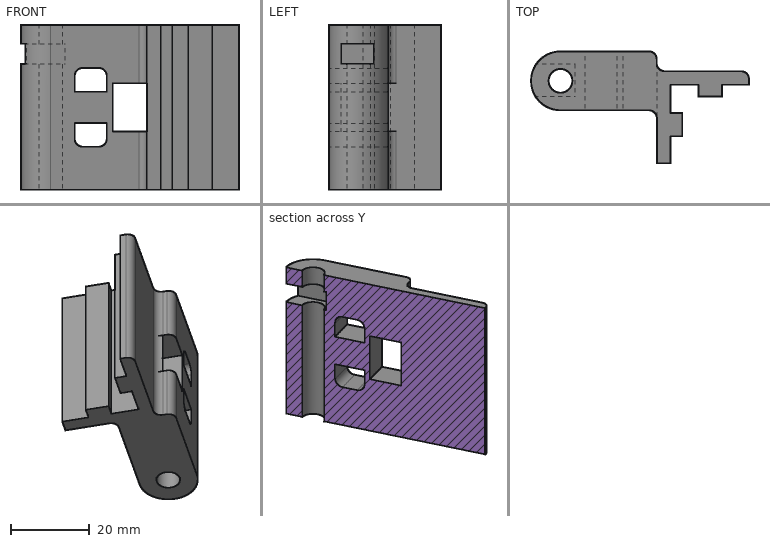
import cadquery as cq

height = 42.0
barrel_diameter = 15.05
barrel_radius = barrel_diameter / 2
barrel_hole_diameter = 6.0
edge_radius = 2.0

flange_thickness = 3.5
flange_reach = 20.0
body_length = 32.0
back_step = 5.05
pad_offset = 7.1
pad_width = 6.0
pad_height = 3.0

window_left = 13.7
window_width = 8.1
window_inner_z = 4.0
window_outer_z = 10.0

opening_left = 23.4
opening_height = 12.2

slot_depth = 11.1
slot_width = 8.2
slot_height = 5.1
slot_top_gap = 4.85
slot_shift = 0.2

mid_z = height / 2
corner_x = body_length + flange_thickness
corner_y = barrel_radius - back_step - flange_thickness
end_x = corner_x + flange_reach
end_y = corner_y - flange_reach


def box(x, y, z, length, width, tall):
    """Box placed by its lowest corner."""
    return cq.Workplane("XY").box(length, width, tall, centered=False).translate((x, y, z))


def bracket():
    """Rounded hinge body and the two flanges, without the pads."""
    flange_back = corner_y + flange_thickness
    solid = (
        cq.Workplane("XY")
        .moveTo(barrel_radius, barrel_radius)
        .lineTo(body_length, barrel_radius)
        .lineTo(body_length, flange_back)
        .lineTo(end_x, flange_back)
        .lineTo(end_x, corner_y)
        .lineTo(corner_x, corner_y)
        .lineTo(corner_x, end_y)
        .lineTo(body_length, end_y)
        .lineTo(body_length, -barrel_radius)
        .lineTo(barrel_radius, -barrel_radius)
        .threePointArc((0, 0), (barrel_radius, barrel_radius))
        .close()
        .extrude(height)
    )
    rounded_corners = [
        (body_length, barrel_radius),
        (body_length, flange_back),
        (end_x, flange_back),
        (body_length, -barrel_radius),
    ]
    for x, y in rounded_corners:
        edge = cq.selectors.NearestToPointSelector((x, y, mid_z))
        solid = solid.edges("|Z").edges(edge).fillet(edge_radius)
    return solid


def pads():
    """Full-height locating ribs on the inner face of each flange."""
    back_pad = box(corner_x + pad_offset, corner_y - pad_height, 0, pad_width, pad_height, height)
    front_pad_y = corner_y - pad_offset - pad_width
    front_pad = box(corner_x, front_pad_y, 0, pad_height, pad_width, height)
    return back_pad.union(front_pad)


def window(side):
    """Window through the body above (+1) or below (-1) mid height, with rounded outer corners."""
    tall = window_outer_z - window_inner_z
    center_z = mid_z + side * (window_inner_z + window_outer_z) / 2
    outer_edges = ">Z" if side > 0 else "<Z"
    return (
        cq.Workplane("XY")
        .box(window_width, 2 * barrel_radius, tall)
        .faces(outer_edges)
        .edges("|Y")
        .fillet(edge_radius)
        .translate((window_left + window_width / 2, 0, center_z))
    )


def opening():
    """Rectangular opening through the body, ending flush with the front flange."""
    return box(
        opening_left,
        -barrel_radius - edge_radius,
        mid_z - opening_height / 2,
        body_length - opening_left,
        2 * (barrel_radius + edge_radius),
        opening_height,
    )


def end_slot():
    """Blind slot cut into the rounded end, just past the barrel hole."""
    slot_y = slot_shift - slot_width / 2
    slot_z = height - slot_top_gap - slot_height
    return box(0, slot_y, slot_z, slot_depth, slot_width, slot_height)


barrel_hole = (
    cq.Workplane("XY")
    .center(barrel_radius, 0)
    .circle(barrel_hole_diameter / 2)
    .extrude(height)
)

result = bracket().union(pads()).cut(barrel_hole).cut(opening()).cut(end_slot())
for side in (1, -1):
    result = result.cut(window(side))